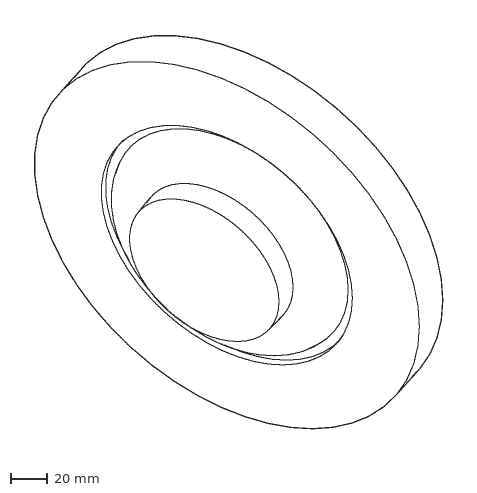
import cadquery as cq

disc_radius = 125.0
disc_thickness = 24.8
total_depth = 48.5

groove_radius = 81.5
groove_depth = 4.5

dome_height = 9.8
dome_flat_radius = 60.0
dome_radius = 76.0

hub_radius = 49.0
hub_base_height = 5.8
hub_tip_radius = 48.5

groove_floor = disc_thickness - groove_depth
dome_top = disc_thickness + dome_height
hub_base_top = dome_top + hub_base_height


def cylinder(radius, start, end):
    """Cylinder about the Y axis, between two distances forward of the disc back."""
    return cq.Workplane("XZ", origin=(0, -start, 0)).circle(radius).extrude(end - start)


disc = cylinder(disc_radius, 0, disc_thickness)
groove = cylinder(groove_radius, groove_floor, disc_thickness)

dome = (
    cq.Workplane("XY")
    .moveTo(0, -groove_floor)
    .lineTo(0, -dome_top)
    .lineTo(dome_flat_radius, -dome_top)
    .tangentArcPoint((dome_radius, -groove_floor), relative=False)
    .close()
    .revolve(360, (0, 0, 0), (0, 1, 0))
)

hub_base = cylinder(hub_radius, dome_top, hub_base_top)
hub_tip = (
    cq.Workplane("XY")
    .moveTo(0, -hub_base_top)
    .lineTo(hub_radius, -hub_base_top)
    .lineTo(hub_tip_radius, -total_depth)
    .lineTo(0, -total_depth)
    .close()
    .revolve(360, (0, 0, 0), (0, 1, 0))
)

result = disc.cut(groove).union(dome).union(hub_base).union(hub_tip)